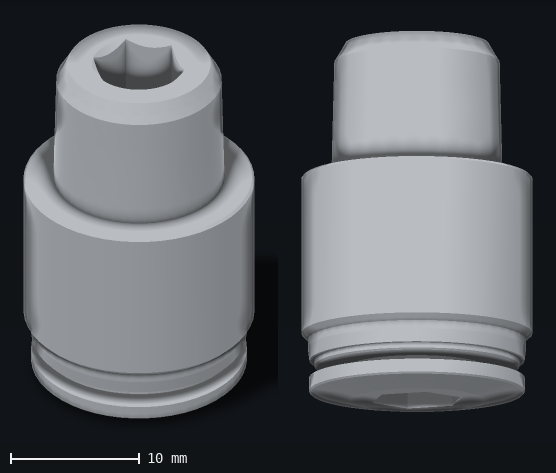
import cadquery as cq
import math

height = 28.2

base_d = 10.32
flange_d = 16.8
flange_edge = 0.15
flange_cone_top = 0.6
flange_top = 1.75

neck_d = 10.9
neck_flare = 0.15
neck_flare_top = 2.12
neck_top = 2.57

lip_d = 16.0
lip_chamfer = 0.15
lip_top = 3.13
collar_d = 17.0
collar_foot_d = 16.75
collar_taper_top = 4.15
collar_top = 4.8

body_d = 18.0
body_bottom = 5.3
body_top = 17.7
body_chamfer = 0.2

stem_base_d = 13.35
stem_end_d = 12.9
stem_tip_d = 11.17
stem_end = 26.73

hex_across_flats = 6.35
hex_across_corners = hex_across_flats / math.cos(math.radians(30))
socket_cone_angle = 45.0


def make_turned_body():
    """Revolve the outer (radius, height) profile around Z."""
    flange_r = flange_d / 2
    neck_r = neck_d / 2
    lip_r = lip_d / 2
    body_r = body_d / 2
    profile = [
        (0, 0),
        (base_d / 2, 0),
        (flange_r - flange_edge, flange_cone_top),
        (flange_r, flange_cone_top + flange_edge),
        (flange_r, flange_top),
        (neck_r + neck_flare, flange_top),
        (neck_r, neck_flare_top),
        (neck_r, neck_top),
        (lip_r - lip_chamfer, neck_top),
        (lip_r, neck_top + lip_chamfer),
        (lip_r, lip_top),
        (collar_foot_d / 2, lip_top),
        (collar_d / 2, collar_taper_top),
        (collar_d / 2, collar_top),
        (body_r, body_bottom),
        (body_r, body_top - body_chamfer),
        (body_r - body_chamfer, body_top),
        (stem_base_d / 2, body_top),
        (stem_end_d / 2, stem_end),
        (stem_tip_d / 2, height),
        (0, height),
    ]
    return cq.Workplane("XZ").polyline(profile).close().revolve(360, (0, 0), (0, 1))


def make_hex_socket():
    """Hexagonal prism through the full height."""
    prism = cq.Workplane("XY").polygon(6, hex_across_corners).extrude(height)
    return prism.rotate((0, 0, 0), (0, 0, 1), 30)


def make_socket_lead_in():
    """Inverted cone that bevels the mouth of the socket."""
    mouth_r = hex_across_corners / 2
    depth = mouth_r * math.tan(math.radians(socket_cone_angle))
    profile = [(0, height), (mouth_r, height), (0, height - depth)]
    return cq.Workplane("XZ").polyline(profile).close().revolve(360, (0, 0), (0, 1))


result = make_turned_body().cut(make_hex_socket()).cut(make_socket_lead_in())